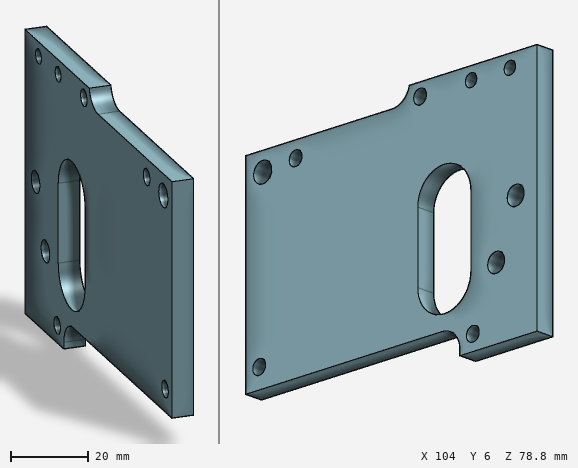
import cadquery as cq

length = 104.0
thickness = 6.0
height = 78.8

step_radius = 6.3
top_step_x = 45.5
top_step_depth = 5.0
bottom_step_x = 27.6
bottom_step_depth = 8.2

window_x = 33.1
window_z = 33.5
window_width = 18.9
window_height = 41.1

holes = {
    4.1: [(9.7, 74.8), (23.5, 74.8)],
    4.6: [(41.7, 74.8), (86.1, 68.7), (99.1, 14.6), (22.9, 4.9)],
    6.0: [(7.6, 39.2), (14.6, 22.5)],
    6.5: [(97.9, 67.8)],
}


def through_prism(sketch):
    """Extrude an XZ sketch from the front face to the back face."""
    return sketch.extrude(-thickness)


def step_cutter(left, bottom, top):
    """Block removed beside a step, running to the right end of the plate."""
    sketch = cq.Workplane("XZ").moveTo(left, bottom).lineTo(length, bottom)
    return through_prism(sketch.lineTo(length, top).lineTo(left, top).close())


plate = through_prism(cq.Workplane("XZ").rect(length, height, centered=False))

bottom_cutter = step_cutter(bottom_step_x, 0, bottom_step_depth)
bottom_cutter = bottom_cutter.edges("|Y").edges("<X").edges(">Z").fillet(step_radius)

top_step_z = height - top_step_depth
arc_run = (step_radius**2 - (step_radius - top_step_depth) ** 2) ** 0.5
arc_centre_x = top_step_x + arc_run
top_cutter = step_cutter(arc_centre_x, top_step_z, height)
top_round = through_prism(
    cq.Workplane("XZ").center(arc_centre_x, top_step_z + step_radius).circle(step_radius)
)

window = through_prism(
    cq.Workplane("XZ").center(window_x, window_z).slot2D(window_height, window_width, 90)
)

result = plate.cut(bottom_cutter).cut(top_cutter).cut(top_round).cut(window)
for diameter, centres in holes.items():
    result = result.cut(through_prism(cq.Workplane("XZ").pushPoints(centres).circle(diameter / 2)))